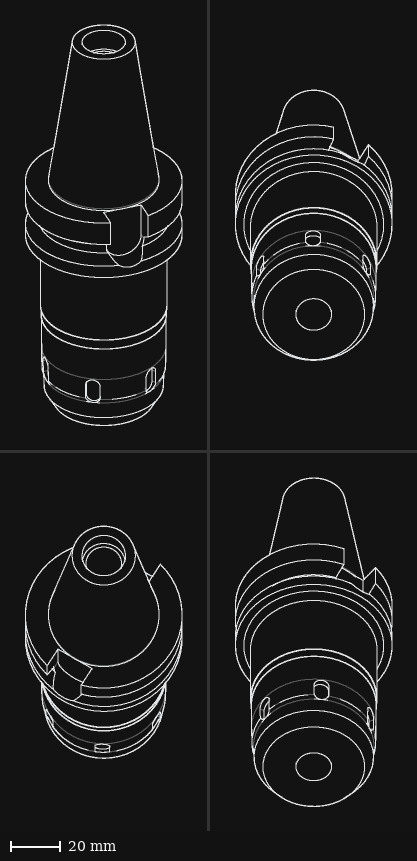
import cadquery as cq

total_height = 170.4
flange_top = 104.1

gauge_diameter = 44.5
gauge_radius = gauge_diameter / 2
gauge_height = 105.0
taper_ratio = 7 / 24
taper_top_radius = gauge_radius - (total_height - gauge_height) * taper_ratio / 2

flange_radius = 31.5
groove_diameter = 53.0
groove_radius = groove_diameter / 2
upper_rim_bottom = 93.9
groove_floor_top = 90.7
groove_floor_bottom = 86.5
lower_rim_top = 83.5
lower_rim_bottom = 78.0
shoulder_radius = 28.1

body_diameter = 51.0
body_radius = body_diameter / 2
body_top = 75.3
ring_top = 44.1
ring_radius = 25.2
ring_bottom = 39.7

nut_radius = 25.0
nut_taper_top = 25.0
nut_taper_bottom = 15.3
nut_taper_bottom_radius = 24.9
nut_step_bottom = 13.3
nut_step_radius = 24.2
nose_chamfer_top = 6.1
nose_chamfer_radius = 24.0
nose_radius = 20.5

bore_diameter = 14.3
counterbore_diameter = 17.4
counterbore_depth = 9.0

keyway_width = 16.0
keyway_depth = 22.2
keyway_floor = 22.2

spanner_slot_count = 6
spanner_slot_width = 6.0
spanner_slot_height = 11.2
spanner_slot_center = 18.9
spanner_slot_floor = 22.8
spanner_slot_start_angle = -90

cut_margin = 3.4


def turned_body():
    """Revolve the half outline, given as (radius, height), about Z."""
    outline = [
        (0, 0),
        (nose_radius, 0),
        (nose_chamfer_radius, nose_chamfer_top),
        (nut_step_radius, nut_step_bottom),
        (nut_taper_bottom_radius, nut_taper_bottom),
        (nut_radius, nut_taper_top),
        (nut_radius, ring_bottom),
        (ring_radius, ring_bottom),
        (ring_radius, ring_top),
        (body_radius, ring_top),
        (body_radius, body_top),
        (shoulder_radius, lower_rim_bottom),
        (flange_radius, lower_rim_bottom),
        (flange_radius, lower_rim_top),
        (groove_radius, groove_floor_bottom),
        (groove_radius, groove_floor_top),
        (flange_radius, upper_rim_bottom),
        (flange_radius, flange_top),
        (gauge_radius, flange_top),
        (gauge_radius, gauge_height),
        (taper_top_radius, total_height),
        (0, total_height),
    ]
    return cq.Workplane("XZ").polyline(outline).close().revolve(360, (0, 0), (0, 1))


def keyway_cutter():
    """Round-bottomed keyway on the +X side, open at the flange top."""
    half_width = keyway_width / 2
    bottom = flange_top - keyway_depth
    arc_center = bottom + half_width
    return (
        cq.Workplane("YZ", origin=(keyway_floor, 0, 0))
        .moveTo(-half_width, flange_top)
        .lineTo(-half_width, arc_center)
        .threePointArc((0, bottom), (half_width, arc_center))
        .lineTo(half_width, flange_top)
        .close()
        .extrude(flange_radius - keyway_floor + cut_margin)
    )


def spanner_slot_cutter():
    """Upright obround slot with a flat floor, on the +X side of the nut."""
    return (
        cq.Workplane("YZ", origin=(spanner_slot_floor, 0, spanner_slot_center))
        .slot2D(spanner_slot_height, spanner_slot_width, 90)
        .extrude(nut_radius - spanner_slot_floor + cut_margin)
    )


def turned_about_z(cutter, angle):
    return cutter.rotate((0, 0, 0), (0, 0, 1), angle)


result = (
    turned_body()
    .faces(">Z")
    .workplane(origin=(0, 0, total_height))
    .cboreHole(bore_diameter, counterbore_diameter, counterbore_depth)
)

for side_angle in (0, 180):
    result = result.cut(turned_about_z(keyway_cutter(), side_angle))

for index in range(spanner_slot_count):
    slot_angle = spanner_slot_start_angle + index * 360 / spanner_slot_count
    result = result.cut(turned_about_z(spanner_slot_cutter(), slot_angle))